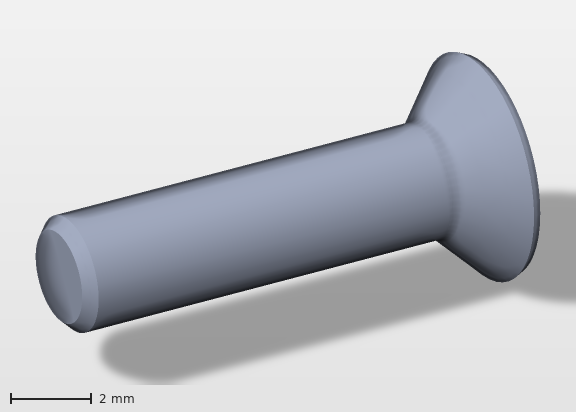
import cadquery as cq
import math

length = 12.0
shank_radius = 3.0 / 2
head_radius = 5.85 / 2
rim_height = 0.23
rim_inset = 0.1
tip_chamfer = 0.3
neck_fillet_radius = 0.3
cone_angle = math.radians(45)

rim_y = length - rim_height
cone_base_y = rim_y - (head_radius - shank_radius) / math.tan(cone_angle)

tangent_length = neck_fillet_radius * math.tan(cone_angle / 2)
fillet_start_y = cone_base_y - tangent_length
fillet_end = (
    shank_radius + tangent_length * math.sin(cone_angle),
    cone_base_y + tangent_length * math.cos(cone_angle),
)

profile = (
    cq.Workplane("XY")
    .moveTo(0, 0)
    .lineTo(shank_radius - tip_chamfer, 0)
    .lineTo(shank_radius, tip_chamfer)
    .lineTo(shank_radius, fillet_start_y)
    .tangentArcPoint(fillet_end, relative=False)
    .lineTo(head_radius, rim_y)
    .lineTo(head_radius - rim_inset, length)
    .lineTo(0, length)
    .close()
)
result = profile.revolve(360, (0, 0, 0), (0, 1, 0))